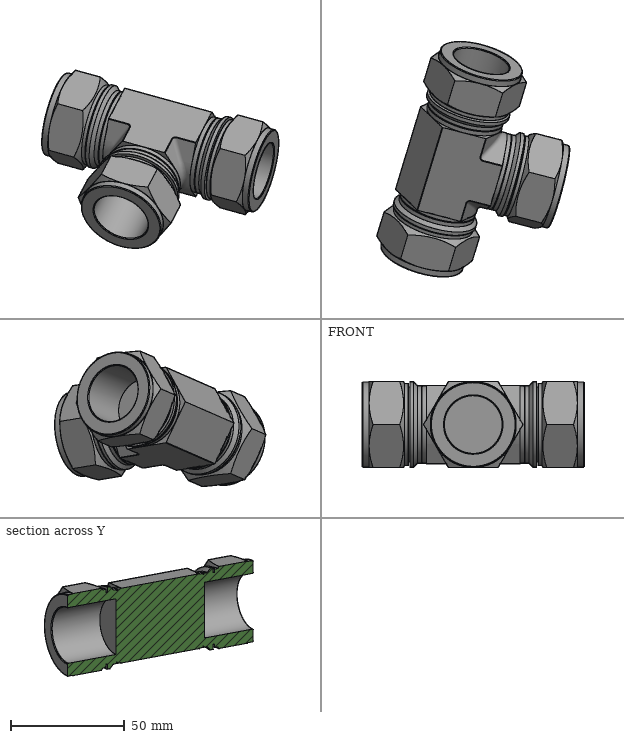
import cadquery as cq
import math

arm_length = 49.1

body_across_flats = 34.8
body_half_length = 20.6
inner_fillet = 2.0
flat_edge_chamfer = 0.2

groove_start = 22.6
groove_end = 22.9
collar_cone_start = 24.8
collar_start = 26.4
collar_end = 28.1
skirt_start = 28.6
nut_start = 30.4
nut_end = 46.1

spigot_diameter = 34.5
groove_diameter = 33.3
collar_diameter = 38.0
thread_diameter = 33.3
skirt_diameter = 36.5
nose_diameter = 37.8
skirt_chamfer = 0.2
nose_chamfer = 0.4

nut_across_flats = 38.1
nut_cone_angle = 30.0

bore_diameter = 25.6
bore_depth = 25.6
bore_chamfer = 0.4

hexagon_half_angle = math.radians(30)


def turned_along_x(profile):
    """Revolve a closed (station, radius) profile around the X axis."""
    return cq.Workplane("XY").polyline(profile).close().revolve(360, (0, 0, 0), (1, 0, 0))


def make_nut():
    """Hexagonal nut with both ends turned to a cone, the inner one down to the skirt."""
    flat_radius = nut_across_flats / 2
    corner_radius = flat_radius / math.cos(hexagon_half_angle)
    skirt_radius = skirt_diameter / 2
    slope = math.tan(math.radians(nut_cone_angle))
    inner_setback = (corner_radius - skirt_radius) * slope
    outer_setback = (corner_radius - flat_radius) * slope
    envelope = turned_along_x([
        (nut_start, 0),
        (nut_start, skirt_radius),
        (nut_start + inner_setback, corner_radius),
        (nut_end - outer_setback, corner_radius),
        (nut_end, flat_radius),
        (nut_end, 0),
    ])
    hexagon = (
        cq.Workplane("YZ", origin=(nut_start, 0, 0))
        .polygon(6, 2 * corner_radius)
        .extrude(nut_end - nut_start)
    )
    return hexagon.intersect(envelope)


def make_turned_core():
    """Round parts of one arm: grooved spigot, collar, thread, skirt and nose."""
    spigot_radius = spigot_diameter / 2
    groove_radius = groove_diameter / 2
    collar_radius = collar_diameter / 2
    thread_radius = thread_diameter / 2
    skirt_radius = skirt_diameter / 2
    nose_radius = nose_diameter / 2
    nose_start = (nut_start + nut_end) / 2
    return turned_along_x([
        (body_half_length, 0),
        (body_half_length, spigot_radius),
        (groove_start, spigot_radius),
        (groove_start, groove_radius),
        (groove_end, groove_radius),
        (groove_end, spigot_radius),
        (collar_cone_start, spigot_radius),
        (collar_start, collar_radius),
        (collar_end, collar_radius),
        (collar_end, thread_radius),
        (skirt_start, thread_radius),
        (skirt_start, skirt_radius - skirt_chamfer),
        (skirt_start + skirt_chamfer, skirt_radius),
        (nose_start, skirt_radius),
        (nose_start, nose_radius),
        (arm_length - nose_chamfer, nose_radius),
        (arm_length, nose_radius - nose_chamfer),
        (arm_length, 0),
    ])


def make_socket():
    """Blind tube socket with a chamfered mouth."""
    radius = bore_diameter / 2
    floor = arm_length - bore_depth
    return turned_along_x([
        (floor, 0),
        (floor, radius),
        (arm_length - bore_chamfer, radius),
        (arm_length, radius + bore_chamfer),
        (arm_length, 0),
    ])


def make_arm():
    """One complete arm pointing along +X, from the body end face outwards."""
    return make_turned_core().union(make_nut()).cut(make_socket())


def body_bar(plane, length, round_right_side):
    """Hexagonal bar with its left corner, and optionally its right one, rounded.

    The rounding is the inscribed circle, tangent to the sloping flats.
    """
    radius = body_across_flats / 2
    corner = radius / math.cos(hexagon_half_angle)
    tangent_across = radius * math.cos(hexagon_half_angle)
    tangent_up = radius * math.sin(hexagon_half_angle)
    flat = corner / 2
    outline = (
        cq.Workplane(plane)
        .moveTo(flat, radius)
        .lineTo(-flat, radius)
        .lineTo(-tangent_across, tangent_up)
        .threePointArc((-radius, 0), (-tangent_across, -tangent_up))
        .lineTo(-flat, -radius)
        .lineTo(flat, -radius)
    )
    if round_right_side:
        outline = (
            outline
            .lineTo(tangent_across, -tangent_up)
            .threePointArc((radius, 0), (tangent_across, tangent_up))
        )
    else:
        outline = outline.lineTo(corner, 0)
    return outline.close().extrude(length)


def make_body():
    """Tee body, built as the -X half and mirrored."""
    half_run = body_bar("YZ", -body_half_length, round_right_side=False)
    branch = body_bar("XZ", body_half_length, round_right_side=True)
    left_side = cq.Workplane("XY").box(
        body_across_flats, 2 * body_half_length, body_across_flats, centered=(False, True, True)
    ).translate((-body_across_flats, 0, 0))
    half = half_run.union(branch.intersect(left_side))

    tolerance = 0.01
    inner_edges = [
        edge for edge in half.edges().vals()
        if abs(edge.Center().y - edge.Center().x) < tolerance
        and edge.Center().x < -tolerance
    ]
    half = half.newObject(inner_edges).fillet(inner_fillet)

    flat_edges = [
        edge for edge in half.faces(">Z or <Z").edges().vals()
        if -body_half_length + tolerance < edge.Center().x < -tolerance
        and edge.Center().y > -body_half_length + tolerance
    ]
    half = half.newObject(flat_edges).chamfer(flat_edge_chamfer)
    return half.union(half.mirror("YZ"))


arm = make_arm()
result = make_body()
for arm_direction in (0, 180, -90):
    result = result.union(arm.rotate((0, 0, 0), (0, 0, 1), arm_direction))